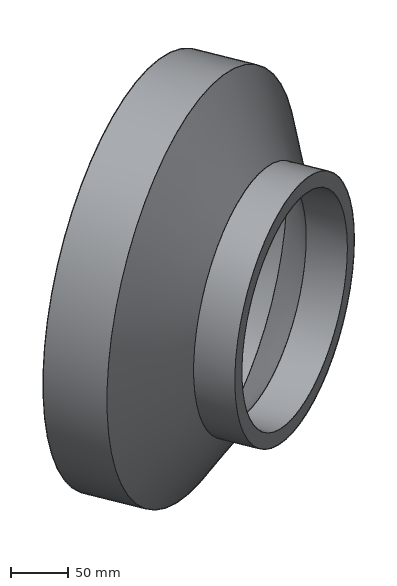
import cadquery as cq

large_outer_diameter = 400.0
large_inner_diameter = 353.0
small_outer_diameter = 250.0
small_inner_diameter = 220.5

total_length = 150.0
large_collar_length = 61.5
small_collar_length = 39.5
cone_end = total_length - small_collar_length


def reducer_body(large_diameter, small_diameter):
    """Solid of two cylinders joined by a cone, starting at X = 0."""
    large_radius = large_diameter / 2
    small_radius = small_diameter / 2
    return (
        cq.Workplane("XY")
        .moveTo(0, 0)
        .lineTo(0, large_radius)
        .lineTo(large_collar_length, large_radius)
        .lineTo(cone_end, small_radius)
        .lineTo(total_length, small_radius)
        .lineTo(total_length, 0)
        .close()
        .revolve(360, (0, 0, 0), (1, 0, 0))
    )


outer_body = reducer_body(large_outer_diameter, small_outer_diameter)
bore = reducer_body(large_inner_diameter, small_inner_diameter)
result = outer_body.cut(bore)